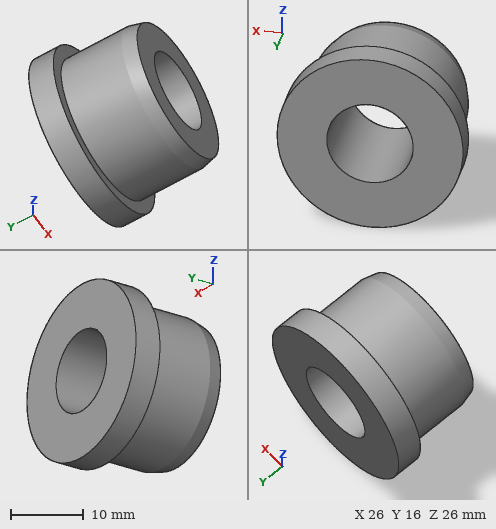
import cadquery as cq

flange_diameter = 26.0
flange_thickness = 4.0
body_diameter = 22.0
bore_diameter = 12.06
total_length = 16.0

taper_length = 2.1
taper_depth = 0.55

flange_radius = flange_diameter / 2
body_radius = body_diameter / 2
bore_radius = bore_diameter / 2
tip_radius = body_radius - taper_depth
flange_face = total_length - flange_thickness

half_section = [
    (bore_radius, 0),
    (tip_radius, 0),
    (body_radius, taper_length),
    (body_radius, flange_face),
    (flange_radius, flange_face),
    (flange_radius, total_length),
    (bore_radius, total_length),
]

result = (
    cq.Workplane("XY")
    .polyline(half_section)
    .close()
    .revolve(360, (0, 0, 0), (0, 1, 0))
)